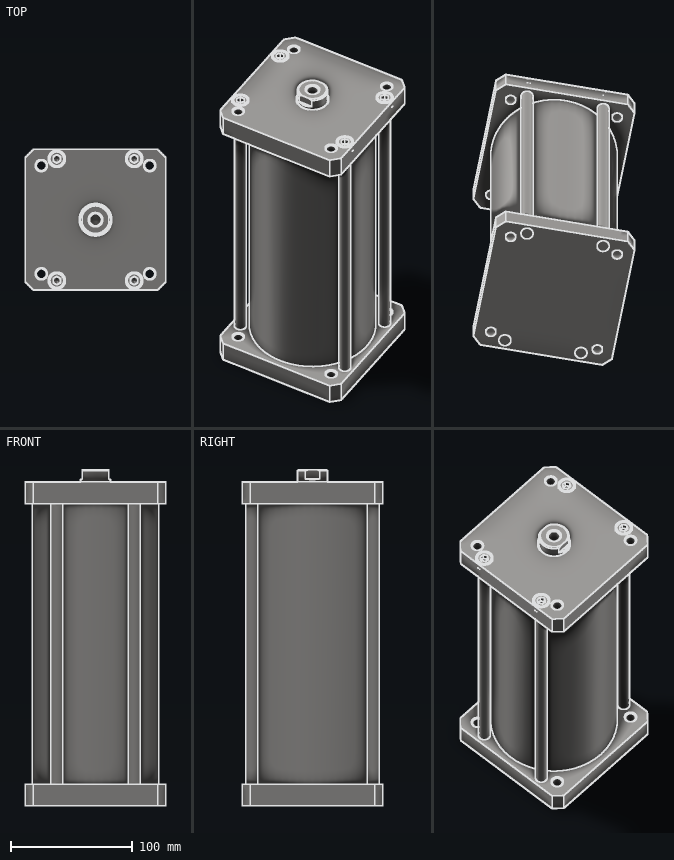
import cadquery as cq
import math

total_height = 277.0
plate_side = 116.0
plate_thickness = 18.0
corner_chamfer = 7.0

rod_diameter = 25.0
rod_projection = 10.2
rod_edge_chamfer = 1.0
rod_flat_width = 22.0
rod_flat_height = 7.8
rod_flat_runout = 0.5
rod_hole_diameter = 10.0
rod_hole_rim_diameter = 12.0
rod_hole_depth = 16.5
rod_hole_tip_height = 0.8
rod_recess_diameter = 27.0
rod_recess_depth = 1.7

barrel_diameter = 104.5

mount_hole_offset = 44.5
mount_hole_diameter = 8.3
mount_hole_rim_diameter = 10.0

tie_rod_x = 31.9
tie_rod_y = 50.0
tie_rod_diameter = 10.0
head_diameter = 13.0
head_chamfer = 0.8
head_height = 7.2
head_pocket_diameter = 14.0
socket_sides = 6
socket_width = 6.0
socket_depth = 5.0
socket_tip_height = 1.7

head_plate_top = total_height - rod_projection
head_plate_bottom = head_plate_top - plate_thickness

mount_points = [(sx * mount_hole_offset, sy * mount_hole_offset) for sx in (-1, 1) for sy in (-1, 1)]
tie_rod_points = [(sx * tie_rod_x, sy * tie_rod_y) for sx in (-1, 1) for sy in (-1, 1)]


def cylinder(diameter, bottom, top, x=0.0, y=0.0):
    """Vertical cylinder between two levels."""
    return cq.Workplane("XY", origin=(x, y, bottom)).circle(diameter / 2).extrude(top - bottom)


def cone_frustum(bottom_diameter, top_diameter, bottom, top, x=0.0, y=0.0):
    """Vertical cone between two levels; a zero diameter gives a point."""
    return cq.Workplane(
        cq.Solid.makeCone(bottom_diameter / 2, top_diameter / 2, top - bottom, pnt=cq.Vector(x, y, bottom))
    )


def countersink(hole_diameter, rim_diameter, top, x=0.0, y=0.0):
    """Cutter for a 45 degree chamfer around the mouth of a hole."""
    depth = (rim_diameter - hole_diameter) / 2
    return cone_frustum(hole_diameter, rim_diameter, top - depth, top, x, y)


def drill_tip(diameter, height, floor, x=0.0, y=0.0):
    """Cutter for the conical end below the floor of a blind hole."""
    return cone_frustum(0, diameter, floor - height, floor, x, y)


def make_plate(bottom):
    """Square plate with chamfered corners, mounting holes and tie rod holes."""
    top = bottom + plate_thickness
    plate = (
        cq.Workplane("XY", origin=(0, 0, bottom))
        .rect(plate_side, plate_side)
        .extrude(plate_thickness)
        .edges("|Z")
        .chamfer(corner_chamfer)
    )
    for x, y in mount_points:
        plate = plate.cut(cylinder(mount_hole_diameter, bottom, top, x, y))
        plate = plate.cut(countersink(mount_hole_diameter, mount_hole_rim_diameter, top, x, y))
    for x, y in tie_rod_points:
        plate = plate.cut(cylinder(tie_rod_diameter, bottom, top, x, y))
    return plate


def make_head_plate():
    """Top plate with pockets for the tie rod heads and a recessed hole for the rod."""
    plate = make_plate(head_plate_bottom)
    for x, y in tie_rod_points:
        plate = plate.cut(cylinder(head_pocket_diameter, head_plate_top - head_height, head_plate_top, x, y))
    plate = plate.cut(cylinder(rod_diameter, head_plate_bottom, head_plate_top))
    return plate.cut(cylinder(rod_recess_diameter, head_plate_top - rod_recess_depth, head_plate_top))


def rod_flat(side):
    """Cutter for one wrench flat, with a floor that slopes down to the rod surface."""
    inner = side * rod_flat_width / 2
    outer = side * rod_diameter / 2
    floor = total_height - rod_flat_height
    return (
        cq.Workplane("XZ")
        .polyline([(inner, total_height), (inner, floor), (outer, floor - rod_flat_runout), (outer, total_height)])
        .close()
        .extrude(rod_diameter / 2, both=True)
    )


def make_rod():
    """Rod end with two wrench flats and a blind hole in its top."""
    rod = cylinder(rod_diameter, head_plate_bottom, total_height).faces(">Z").chamfer(rod_edge_chamfer)
    for side in (-1, 1):
        rod = rod.cut(rod_flat(side))
    hole_floor = total_height - rod_hole_depth
    rod = rod.cut(cylinder(rod_hole_diameter, hole_floor, total_height))
    rod = rod.cut(drill_tip(rod_hole_diameter, rod_hole_tip_height, hole_floor))
    return rod.cut(countersink(rod_hole_diameter, rod_hole_rim_diameter, total_height))


def make_tie_rod(x, y):
    """Tie rod with a cylindrical head and a hexagon socket."""
    head = cylinder(head_diameter, head_plate_top - head_height, head_plate_top, x, y)
    head = head.faces(">Z").chamfer(head_chamfer)
    shank = cylinder(tie_rod_diameter, 0, head_plate_top - head_height, x, y)
    corner_diameter = socket_width / math.cos(math.pi / socket_sides)
    socket = (
        cq.Workplane("XY", origin=(x, y, head_plate_top))
        .transformed(rotate=(0, 0, 90))
        .polygon(socket_sides, corner_diameter)
        .extrude(-socket_depth)
    )
    socket_tip = drill_tip(socket_width, socket_tip_height, head_plate_top - socket_depth, x, y)
    return head.union(shank).cut(socket).cut(socket_tip)


base_plate = make_plate(0).solids()
head_plate = make_head_plate().solids()
barrel = cylinder(barrel_diameter, plate_thickness, head_plate_bottom)
rod = make_rod().solids()
tie_rods = [make_tie_rod(x, y).solids().val() for x, y in tie_rod_points]
result = cq.Compound.makeCompound(
    [base_plate.val(), head_plate.val(), barrel.val(), rod.val(), *tie_rods]
)